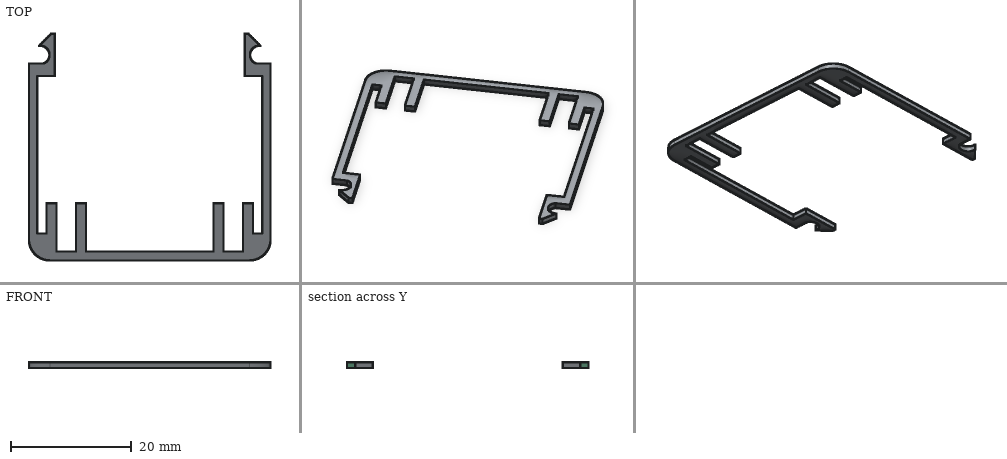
import cadquery as cq
import math

width = 40.0
height = 37.5
thickness = 1.0
side_wall = 1.4
floor_wall = 1.5
corner_radius = 3.5

finger_width = 1.7
finger_top = 9.5
outer_finger_gap = 1.5
finger_spacing = 3.2
corner_block_top = 4.5

hook_inset = 4.3
hook_tip_width = 0.6
hook_base = 30.5
shoulder = 32.6
notch_radius = 1.5
notch_inset = 1.9
notch_y = 34.0
barb_angle = 45.0

outer_x = -width / 2
inner_x = outer_x + side_wall
hook_x = outer_x + hook_inset
notch_x = outer_x + notch_inset
barb_y = notch_y + notch_radius
notch_start_x = notch_x + math.sqrt(notch_radius**2 - (notch_y - shoulder)**2)
outer_finger_x = inner_x + outer_finger_gap
inner_finger_x = outer_finger_x + finger_width + finger_spacing
slope_top_x = hook_x - hook_tip_width
barb_x = slope_top_x - (height - barb_y) / math.tan(math.radians(barb_angle))


def left_half():
    """Left half of the frame, from the outer corner to the plane X = 0."""
    arc_offset = corner_radius * (1 - math.sqrt(0.5))
    outline = (
        cq.Workplane("XY")
        .moveTo(0, 0)
        .lineTo(outer_x + corner_radius, 0)
        .threePointArc((outer_x + arc_offset, arc_offset), (outer_x, corner_radius))
        .lineTo(outer_x, shoulder)
        .lineTo(notch_start_x, shoulder)
        .threePointArc((notch_x + notch_radius, notch_y), (notch_x, barb_y))
        .lineTo(barb_x, barb_y)
        .lineTo(slope_top_x, height)
        .lineTo(hook_x, height)
        .lineTo(hook_x, hook_base)
        .lineTo(inner_x, hook_base)
        .lineTo(inner_x, corner_block_top)
        .lineTo(outer_finger_x, corner_block_top)
        .lineTo(outer_finger_x, finger_top)
        .lineTo(outer_finger_x + finger_width, finger_top)
        .lineTo(outer_finger_x + finger_width, floor_wall)
        .lineTo(inner_finger_x, floor_wall)
        .lineTo(inner_finger_x, finger_top)
        .lineTo(inner_finger_x + finger_width, finger_top)
        .lineTo(inner_finger_x + finger_width, floor_wall)
        .lineTo(0, floor_wall)
        .close()
    )
    return outline.extrude(thickness)


half = left_half()
result = half.union(half.mirror("YZ")).clean()